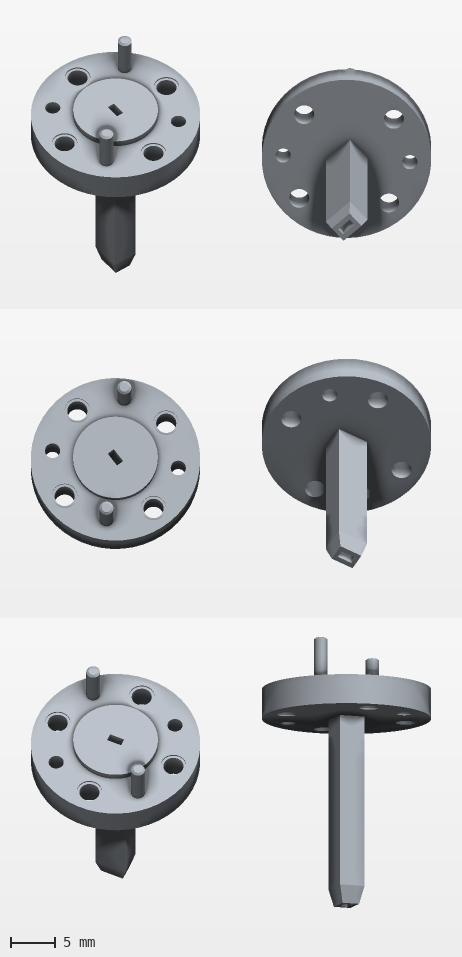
import cadquery as cq
import math

flange_diameter = 19.05
flange_thickness = 3.32
boss_diameter = 9.55
boss_height = 0.8

total_height = 29.35
stem_x = 3.65
stem_y = 2.93
taper_length = 2.0
taper_inset = 0.47

slot_x = 1.73
slot_y = 0.85

pitch_radius = 7.13
screw_hole_diameter = 2.25
counterbore_diameter = 2.85
counterbore_depth = 0.18
dowel_hole_diameter = 1.7
pin_diameter = 1.55
pin_height = 4.7
pin_chamfer_height = 0.18
pin_chamfer_inset = 0.25

pin_top = flange_thickness + pin_height
stem_length = total_height - pin_top
straight_length = stem_length - taper_length


def pitch_points(*angles):
    """Points on the pitch circle at the given angles in degrees."""
    return [
        (pitch_radius * math.cos(math.radians(a)), pitch_radius * math.sin(math.radians(a)))
        for a in angles
    ]


def make_flange():
    screw_points = pitch_points(0, 90, 180, 270)
    dowel_points = pitch_points(45, 225)
    flange = cq.Workplane("XY").circle(flange_diameter / 2).extrude(flange_thickness)
    boss = (
        cq.Workplane("XY").workplane(offset=flange_thickness)
        .circle(boss_diameter / 2).extrude(boss_height)
    )
    top = cq.Workplane("XY").workplane(offset=flange_thickness)
    screw_holes = top.pushPoints(screw_points).circle(screw_hole_diameter / 2).extrude(-flange_thickness)
    counterbores = top.pushPoints(screw_points).circle(counterbore_diameter / 2).extrude(-counterbore_depth)
    dowel_holes = top.pushPoints(dowel_points).circle(dowel_hole_diameter / 2).extrude(-flange_thickness)
    return flange.union(boss).cut(screw_holes).cut(counterbores).cut(dowel_holes)


def make_stem():
    shaft = cq.Workplane("XY").rect(stem_x, stem_y).extrude(-straight_length)
    tip = (
        cq.Workplane("XY").workplane(offset=-straight_length)
        .rect(stem_x, stem_y)
        .workplane(offset=-taper_length)
        .rect(stem_x - 2 * taper_inset, stem_y - 2 * taper_inset)
        .loft(ruled=True)
    )
    return shaft.union(tip)


def make_pins():
    """Dowel pins seated through the flange, chamfered at the free end."""
    return (
        cq.Workplane("XY").pushPoints(pitch_points(135, 315))
        .circle(pin_diameter / 2).extrude(pin_top)
        .faces(">Z").chamfer(pin_chamfer_height, pin_chamfer_inset)
    )


waveguide = (
    cq.Workplane("XY").workplane(offset=-stem_length)
    .rect(slot_x, slot_y).extrude(total_height)
)

result = make_flange().union(make_stem()).union(make_pins()).cut(waveguide)